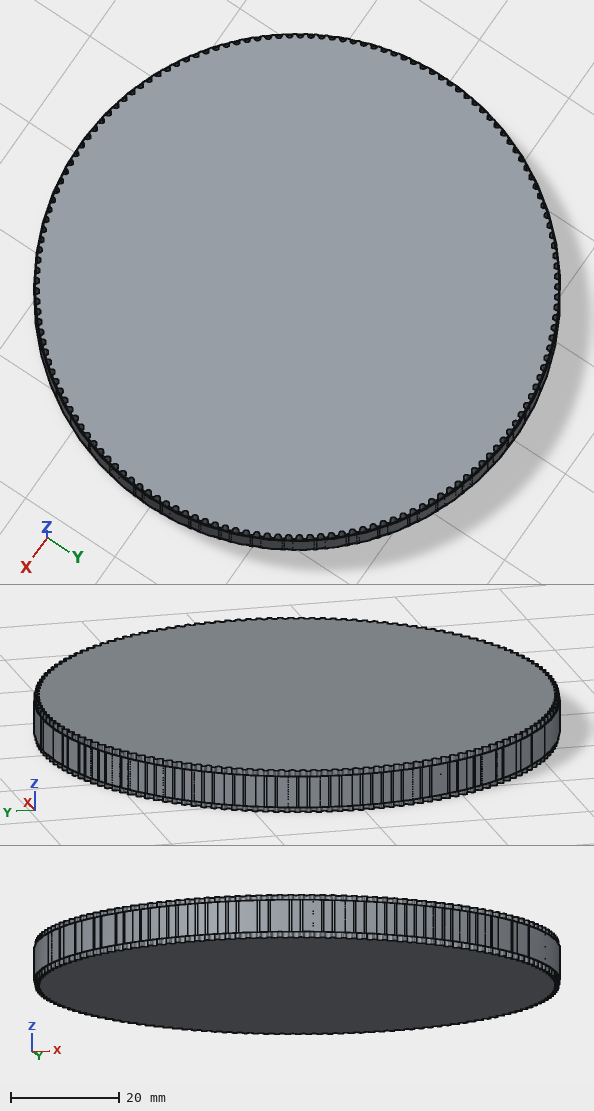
import cadquery as cq
import math

TOOTH_COUNT = 153
BELT_PITCH = 2.0
PITCH_RADIUS = TOOTH_COUNT * BELT_PITCH / (2 * math.pi)
PITCH_LINE_OFFSET = 0.254
TIP_RADIUS = PITCH_RADIUS - PITCH_LINE_OFFSET
THICKNESS = 8.0
FIRST_TOOTH_ANGLE = math.radians(90)
TOOTH_ANGLE = 2 * math.pi / TOOTH_COUNT

GROOVE_DEPTH = 0.75
BOTTOM_ARC_RADIUS = 0.555
FLANK_ARC_RADIUS = 1.0
FLANK_CENTRE_OFFSET = 0.4
CORNER_RADIUS = 0.2

BAND_SETBACK = 1.0
BAND_WIDTH = THICKNESS - 2 * BAND_SETBACK


def groove_half_profile():
    """Points of one groove side as (offset from groove centre, depth below the tooth tips).

    They run from the tooth tip towards the groove bottom. Every other point is an
    arc end, and the points between are the middles of those arcs.
    """
    corner_offset = (
        math.sqrt((FLANK_ARC_RADIUS + CORNER_RADIUS) ** 2 - CORNER_RADIUS**2) - FLANK_CENTRE_OFFSET
    )
    corner_angle = math.asin(CORNER_RADIUS / (FLANK_ARC_RADIUS + CORNER_RADIUS))
    bottom_angle = math.acos(FLANK_CENTRE_OFFSET / (FLANK_ARC_RADIUS - BOTTOM_ARC_RADIUS))

    def on_flank(angle):
        return (
            FLANK_ARC_RADIUS * math.cos(angle) - FLANK_CENTRE_OFFSET,
            FLANK_ARC_RADIUS * math.sin(angle),
        )

    corner_mid_angle = (math.pi / 2 + corner_angle) / 2
    corner_mid = (
        corner_offset - CORNER_RADIUS * math.cos(corner_mid_angle),
        CORNER_RADIUS - CORNER_RADIUS * math.sin(corner_mid_angle),
    )
    return [
        (corner_offset, 0),
        corner_mid,
        on_flank(corner_angle),
        on_flank((corner_angle + bottom_angle) / 2),
        on_flank(bottom_angle),
    ]


def rim_point(groove_angle, offset, depth):
    """Point at an offset along the rim from a groove centre and a depth below the tooth tips."""
    angle = groove_angle + offset / TIP_RADIUS
    radius = TIP_RADIUS - depth
    return (radius * math.cos(angle), radius * math.sin(angle))


def toothed_disc():
    """Disc whose rim is a chain of grooves joined by tooth-tip arcs."""
    half = groove_half_profile()
    entry_side = [(-offset, depth) for offset, depth in half]
    groove = entry_side + [(0, GROOVE_DEPTH)] + half[::-1]
    half_pitch = TIP_RADIUS * TOOTH_ANGLE / 2
    tooth_tip = [(half_pitch, 0), (2 * half_pitch + entry_side[0][0], 0)]
    tooth_outline = groove[1:] + tooth_tip

    first_groove = FIRST_TOOTH_ANGLE + TOOTH_ANGLE / 2
    rim = cq.Workplane("XY").moveTo(*rim_point(first_groove, *groove[0]))
    for index in range(TOOTH_COUNT):
        groove_angle = first_groove + index * TOOTH_ANGLE
        for middle, end in zip(tooth_outline[::2], tooth_outline[1::2]):
            rim = rim.threePointArc(rim_point(groove_angle, *middle), rim_point(groove_angle, *end))
    return rim.close().extrude(THICKNESS)


def pitch_band():
    """Thin ring that bridges the grooves around the tooth tips."""
    return (
        cq.Workplane("XY")
        .workplane(offset=BAND_SETBACK)
        .circle(PITCH_RADIUS)
        .circle(TIP_RADIUS)
        .extrude(BAND_WIDTH)
    )


result = toothed_disc().union(pitch_band())